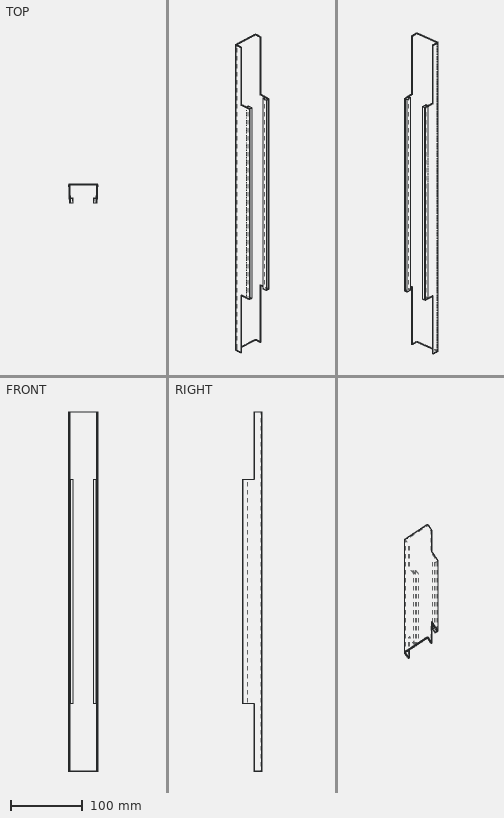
import cadquery as cq

LENGTH = 500.0
WIDTH = 40.5
DEPTH = 27.0

SHEET = 1.6
CORNER_RADIUS = 2.0
END_DEPTH = 11.0
MIDDLE_LENGTH = 312.0
FLANGE_LEAN = 1.0

STRIP_THICKNESS = 3.5
STRIP_WIDTH = 7.0

half_width = WIDTH / 2
back_y = DEPTH / 2
front_y = -DEPTH / 2
bend_end_y = back_y - CORNER_RADIUS
strip_back_y = front_y + STRIP_WIDTH


def flange_outer_x(y):
    """X of the outer flange face at depth position y, following the flange lean."""
    return half_width - FLANGE_LEAN * (bend_end_y - y) / (bend_end_y - front_y)


def flange_inner_x(y):
    """X of the inner flange face at depth position y."""
    return flange_outer_x(y) - SHEET


def make_tapered_bar(face_x, bar_back_y, bend_radius):
    """Full-length bar whose sides follow face_x, with its two back edges rounded."""
    outline = [
        (face_x(front_y), front_y),
        (face_x(bar_back_y), bar_back_y),
        (-face_x(bar_back_y), bar_back_y),
        (-face_x(front_y), front_y),
    ]
    bar = cq.Workplane("XY").polyline(outline).close().extrude(LENGTH / 2, both=True)
    return bar.edges("|Z and >Y").fillet(bend_radius)


def make_channel():
    """Folded channel with slightly converging flanges, shallower at both ends."""
    outside = make_tapered_bar(flange_outer_x, back_y, CORNER_RADIUS)
    inside = make_tapered_bar(flange_inner_x, back_y - SHEET, CORNER_RADIUS - SHEET)
    channel = outside.cut(inside)

    notch_length = (LENGTH - MIDDLE_LENGTH) / 2
    notch_depth = DEPTH - END_DEPTH
    for side in (-1, 1):
        notch = cq.Workplane("XY").box(WIDTH, notch_depth, notch_length).translate(
            (0, front_y + notch_depth / 2, side * (LENGTH - notch_length) / 2)
        )
        channel = channel.cut(notch)
    return channel


def make_strip(side):
    """Flat strip against the inner face of one flange, flush with its free edge."""
    front_x = flange_inner_x(front_y)
    back_x = flange_inner_x(strip_back_y)
    outline = [
        (side * front_x, front_y),
        (side * back_x, strip_back_y),
        (side * (back_x - STRIP_THICKNESS), strip_back_y),
        (side * (front_x - STRIP_THICKNESS), front_y),
    ]
    return cq.Workplane("XY").polyline(outline).close().extrude(MIDDLE_LENGTH / 2, both=True)


channel = make_channel()
strips = [make_strip(side) for side in (-1, 1)]

result = cq.Compound.makeCompound([channel.val(), *[strip.val() for strip in strips]])